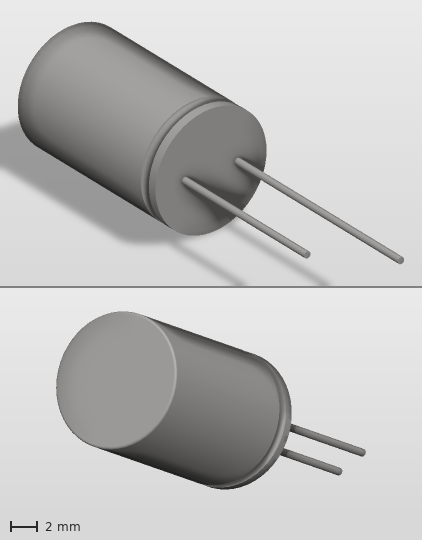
import cadquery as cq

total_length = 37.0
long_lead_length = 20.02
short_lead_length = 15.03
can_diameter = 10.5
rim_length = 0.8
groove_width = 1.0
end_rounding = 0.2
lead_diameter = 0.6
lead_spacing = 5.0

can_length = total_length - long_lead_length
can_radius = can_diameter / 2
groove_radius = groove_width / 2
groove_center_x = -rim_length - groove_radius


def make_can():
    """Solid round can with a rounded closed end and a half-round crimp groove."""
    blank = cq.Workplane("YZ").circle(can_radius).extrude(-can_length)
    blank = blank.faces("<X").edges().fillet(end_rounding)
    groove_ring = cq.Workplane("XY").add(
        cq.Solid.makeTorus(can_radius, groove_radius, cq.Vector(groove_center_x, 0, 0), cq.Vector(1, 0, 0))
    )
    return blank.cut(groove_ring)


def make_lead(center_y, length):
    """Straight round wire standing on the lead end face of the can."""
    return cq.Workplane("YZ").center(center_y, 0).circle(lead_diameter / 2).extrude(length)


can = make_can()

lead_layout = [
    (lead_spacing / 2, long_lead_length),
    (-lead_spacing / 2, short_lead_length),
]
leads = [make_lead(center_y, length) for center_y, length in lead_layout]

result = cq.Compound.makeCompound([can.val(), *[lead.val() for lead in leads]])